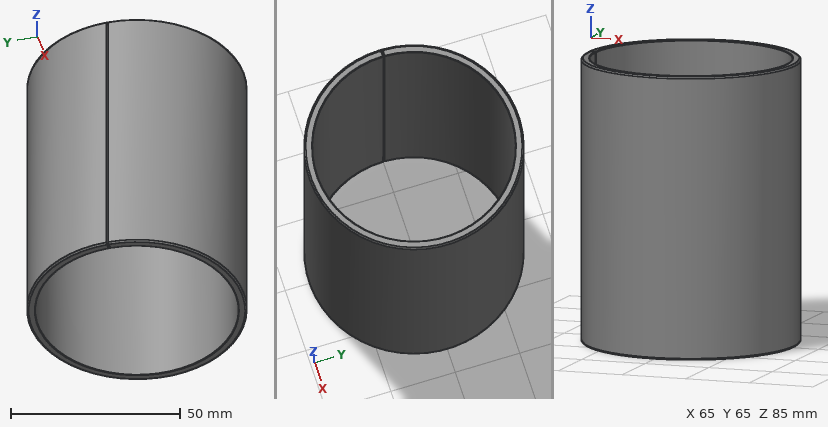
import cadquery as cq

length = 85.0
outer_diameter = 65.0
wall = 2.5
slit_angle = 1.0
outer_chamfer = 0.5
inner_chamfer = 0.2

outer_radius = outer_diameter / 2
inner_radius = outer_radius - wall

wall_section = [
    (inner_radius, inner_chamfer),
    (inner_radius + inner_chamfer, 0),
    (outer_radius - outer_chamfer, 0),
    (outer_radius, outer_chamfer),
    (outer_radius, length - outer_chamfer),
    (outer_radius - outer_chamfer, length),
    (inner_radius + inner_chamfer, length),
    (inner_radius, length - inner_chamfer),
]

split_ring = (
    cq.Workplane("XZ")
    .polyline(wall_section)
    .close()
    .revolve(360 - slit_angle, (0, 0), (0, 1))
)

result = split_ring.rotate((0, 0, 0), (0, 0, 1), 180)